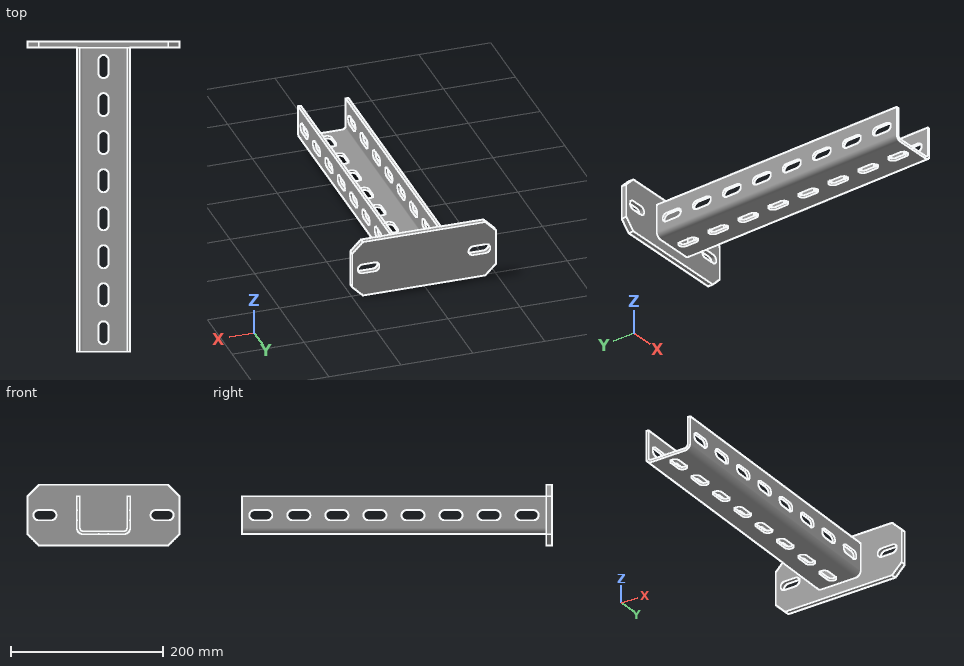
import cadquery as cq

plate_length = 200.0
plate_height = 80.0
plate_thickness = 8.0
plate_corner_cut = 15.0
plate_slot_spacing = 154.0

arm_length = 400.0
arm_width = 70.0
arm_height = 50.0
wall = 4.0
bend_inner_radius = 4.0
bend_outer_radius = bend_inner_radius + wall

slot_length = 30.0
slot_width = 13.0
slot_pitch = 50.0
slot_count = int(arm_length / slot_pitch)

arm_bottom = -arm_height / 2
slot_row_center = -arm_length / 2


def make_mounting_plate():
    """Plate with cut corners and a horizontal slot near each end."""
    blank = (
        cq.Workplane("XY")
        .box(plate_length, plate_thickness, plate_height)
        .translate((0, plate_thickness / 2, 0))
        .edges("|Y")
        .chamfer(plate_corner_cut)
    )
    slots = (
        cq.Workplane("XZ")
        .rarray(plate_slot_spacing, 1, 2, 1)
        .slot2D(slot_length, slot_width)
        .extrude(-plate_thickness)
    )
    return blank.cut(slots)


def bent_block(width, height, bottom, bend_radius):
    """Bar along the arm whose two lower long edges are rounded."""
    return (
        cq.Workplane("XY")
        .box(width, arm_length, height, centered=(True, True, False))
        .translate((0, slot_row_center, bottom))
        .edges("|Y and <Z")
        .fillet(bend_radius)
    )


def make_channel_arm():
    """Bent U channel with a row of slots in the base and in both sides."""
    outside = bent_block(arm_width, arm_height, arm_bottom, bend_outer_radius)
    inside = bent_block(arm_width - 2 * wall, arm_height - wall, arm_bottom + wall, bend_inner_radius)
    channel = outside.cut(inside)

    base_slots = (
        cq.Workplane("XY", origin=(0, slot_row_center, arm_bottom))
        .rarray(1, slot_pitch, 1, slot_count)
        .slot2D(slot_length, slot_width, 90)
        .extrude(wall)
    )
    side_slots = (
        cq.Workplane("YZ", origin=(0, slot_row_center, 0))
        .rarray(slot_pitch, 1, slot_count, 1)
        .slot2D(slot_length, slot_width)
        .extrude(arm_width / 2, both=True)
    )
    return channel.cut(base_slots).cut(side_slots)


mounting_plate = make_mounting_plate()
channel_arm = make_channel_arm()

result = cq.Compound.makeCompound([mounting_plate.val(), channel_arm.val()])